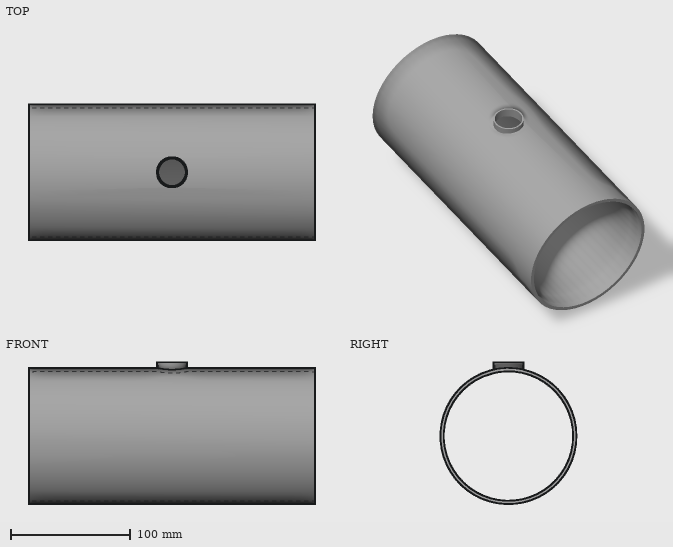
import cadquery as cq

tube_length = 240.0
tube_outer_diameter = 114.3
tube_inner_diameter = 108.3

stub_outer_diameter = 25.4
stub_inner_diameter = 23.0
overall_height = 119.05
stub_top_z = overall_height - tube_outer_diameter / 2


def tube_cylinder(diameter):
    """Solid cylinder along X, as long as the tube."""
    return cq.Workplane("YZ").circle(diameter / 2).extrude(tube_length / 2, both=True)


def stub_cylinder(diameter):
    """Solid upright cylinder from the tube axis to the top of the stub."""
    return cq.Workplane("XY").circle(diameter / 2).extrude(stub_top_z)


outer_body = tube_cylinder(tube_outer_diameter).union(stub_cylinder(stub_outer_diameter))
result = outer_body.cut(tube_cylinder(tube_inner_diameter)).cut(stub_cylinder(stub_inner_diameter))